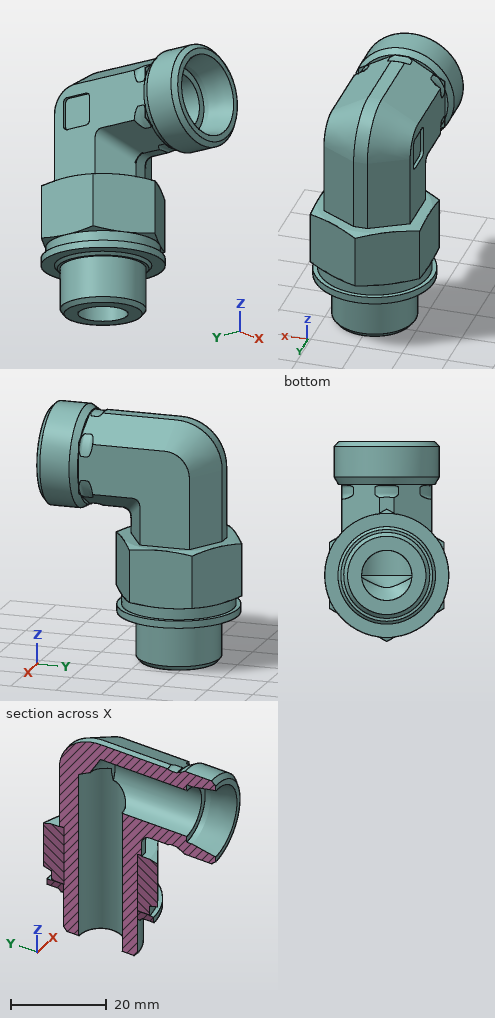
import cadquery as cq
import math


ARM_FLATS = 18.9
ARM_TRUNCATED = 20.1
INNER_CORNER_FILLET = 2.0
SELECTION_MARGIN = 0.1
HALF_SECTOR = math.radians(30)

PORT_END = 28.0
HEAD_BACK = 19.0
HEAD_DIAMETER = 22.0
HEAD_BACK_DIAMETER = 20.2
HEAD_BACK_CONE_LENGTH = 1.55
HEAD_CHAMFER = 1.0

GROOVE_DIAMETER = 19.6
GROOVE_FLOOR_BACK = 17.1
GROOVE_FLOOR_FRONT = 18.35
GROOVE_BACK_RADIUS = 1.2
GROOVE_FRONT_RADIUS = 0.5

BORE_DIAMETER = 12.0
SOCKET_DIAMETER = 15.0
SOCKET_DEPTH = 7.0
MOUTH_DIAMETER = 17.4
MOUTH_HALF_ANGLE = 12.0
DRILL_TIP_ANGLE = 120.0

STUD_DIAMETER = 18.0
STUD_BORE_DIAMETER = 10.5
STUD_END = -42.5
STUD_CHAMFER_END_DIAMETER = 16.38
STUD_CHAMFER_LENGTH = 1.0

NUT_FLATS = 24.0
NUT_TOP = -15.5
NUT_HEX_BOTTOM = -28.0
NUT_BOTTOM = -30.4
NUT_CHAMFER_ANGLE = 16.5

WASHER_DIAMETER = 26.0
WASHER_FLANGE_BOTTOM = -31.95
WASHER_BOTTOM = -32.6
WASHER_CONE_TOP_DIAMETER = 20.4
WASHER_CONE_END_DIAMETER = 19.2

PANEL_SIZE = 7.0
PANEL_CENTER_Y = -0.45
PANEL_CENTER_Z = -0.55
PANEL_CORNER_RADIUS = 1.0
PANEL_DEPTH = 0.7

ARM_HALF_WIDTH = ARM_FLATS / 2
ARM_HALF_HEIGHT = ARM_TRUNCATED / 2
ARM_SHOULDER = ARM_HALF_WIDTH * math.tan(HALF_SECTOR)
ARM_CORNER = ARM_HALF_WIDTH / math.cos(HALF_SECTOR)
ARM_HALF_TIP = (ARM_CORNER - ARM_HALF_HEIGHT) / math.tan(HALF_SECTOR)
DRILL_TIP_SLOPE = 1 / math.tan(math.radians(DRILL_TIP_ANGLE / 2))


def revolve_about_z(profile):
    """Revolve (radius, z) points around the Z axis, starting from the YZ plane."""
    return cq.Workplane("YZ").polyline(profile).close().revolve(360, (0, 0, 0), (0, 1, 0))


def lay_on_port_axis(shape):
    """Turn a shape built along +Z so that it points along -Y."""
    return shape.rotate((0, 0, 0), (1, 0, 0), 90)


def arm_bar(length):
    """Truncated hexagonal bar from the origin plane along +Z."""
    outline = [
        (ARM_HALF_WIDTH, ARM_SHOULDER),
        (ARM_HALF_TIP, ARM_HALF_HEIGHT),
        (-ARM_HALF_TIP, ARM_HALF_HEIGHT),
        (-ARM_HALF_WIDTH, ARM_SHOULDER),
        (-ARM_HALF_WIDTH, -ARM_SHOULDER),
        (-ARM_HALF_TIP, -ARM_HALF_HEIGHT),
        (ARM_HALF_TIP, -ARM_HALF_HEIGHT),
        (ARM_HALF_WIDTH, -ARM_SHOULDER),
    ]
    return cq.Workplane("XY").polyline(outline).close().extrude(length)


def outer_bend():
    """Back upper quarter: half the arm section swept 90 degrees about the X axis."""
    half_outline = [
        (ARM_HALF_WIDTH, 0),
        (ARM_HALF_WIDTH, ARM_SHOULDER),
        (ARM_HALF_TIP, ARM_HALF_HEIGHT),
        (-ARM_HALF_TIP, ARM_HALF_HEIGHT),
        (-ARM_HALF_WIDTH, ARM_SHOULDER),
        (-ARM_HALF_WIDTH, 0),
    ]
    return cq.Workplane("XY").polyline(half_outline).close().revolve(90, (0, 0, 0), (1, 0, 0))


def elbow_bar():
    """Both arms and the bend, with the inner corner filleted."""
    port_arm = lay_on_port_axis(arm_bar(HEAD_BACK))
    bar = arm_bar(NUT_TOP).union(port_arm).union(outer_bend())
    inner_corner = cq.selectors.BoxSelector(
        (-ARM_HALF_WIDTH, -ARM_HALF_HEIGHT - SELECTION_MARGIN, -ARM_HALF_HEIGHT - SELECTION_MARGIN),
        (ARM_HALF_WIDTH, -ARM_SHOULDER - SELECTION_MARGIN, -ARM_SHOULDER - SELECTION_MARGIN),
    )
    return bar.edges(inner_corner).fillet(INNER_CORNER_FILLET)


def port_head():
    radius = HEAD_DIAMETER / 2
    return lay_on_port_axis(revolve_about_z([
        (0, HEAD_BACK),
        (HEAD_BACK_DIAMETER / 2, HEAD_BACK),
        (radius, HEAD_BACK + HEAD_BACK_CONE_LENGTH),
        (radius, PORT_END - HEAD_CHAMFER),
        (radius - HEAD_CHAMFER, PORT_END),
        (0, PORT_END),
    ]))


def relief_groove():
    """Ring that notches the arm corners, with a wide round at the back and a tight one at the front."""
    floor = GROOVE_DIAMETER / 2
    front = GROOVE_FLOOR_FRONT + GROOVE_FRONT_RADIUS
    outside = floor + GROOVE_BACK_RADIUS
    ring = (
        cq.Workplane("XZ")
        .moveTo(floor, GROOVE_FLOOR_BACK)
        .lineTo(floor, GROOVE_FLOOR_FRONT)
        .radiusArc((floor + GROOVE_FRONT_RADIUS, front), GROOVE_FRONT_RADIUS)
        .lineTo(outside, front)
        .lineTo(outside, GROOVE_FLOOR_BACK - GROOVE_BACK_RADIUS)
        .radiusArc((floor, GROOVE_FLOOR_BACK), GROOVE_BACK_RADIUS)
        .close()
        .revolve(360, (0, 0, 0), (0, 1, 0))
    )
    return lay_on_port_axis(ring)


def stud():
    radius = STUD_DIAMETER / 2
    return revolve_about_z([
        (0, NUT_TOP),
        (radius, NUT_TOP),
        (radius, STUD_END + STUD_CHAMFER_LENGTH),
        (STUD_CHAMFER_END_DIAMETER / 2, STUD_END),
        (0, STUD_END),
    ])


def port_bore():
    """Tapered mouth, tube socket and drilled bore ending in a conical tip past the origin."""
    bore = BORE_DIAMETER / 2
    socket = SOCKET_DIAMETER / 2
    mouth = MOUTH_DIAMETER / 2
    mouth_length = (mouth - socket) / math.tan(math.radians(MOUTH_HALF_ANGLE))
    return lay_on_port_axis(revolve_about_z([
        (0, -bore * DRILL_TIP_SLOPE),
        (bore, 0),
        (bore, PORT_END - SOCKET_DEPTH),
        (socket, PORT_END - SOCKET_DEPTH),
        (socket, PORT_END - mouth_length),
        (mouth, PORT_END),
        (0, PORT_END),
    ]))


def stud_bore():
    """Bore through the stud, ending in a conical tip above the origin."""
    bore = STUD_BORE_DIAMETER / 2
    return revolve_about_z([(0, bore * DRILL_TIP_SLOPE), (bore, 0), (bore, STUD_END), (0, STUD_END)])


def label_panel():
    """Rounded square pocket in the -X side."""
    return (
        cq.Workplane("XY")
        .box(PANEL_DEPTH, PANEL_SIZE, PANEL_SIZE)
        .edges("|X")
        .fillet(PANEL_CORNER_RADIUS)
        .translate((-ARM_HALF_WIDTH + PANEL_DEPTH / 2, PANEL_CENTER_Y, PANEL_CENTER_Z))
    )


def build_elbow():
    body = elbow_bar().cut(relief_groove()).union(port_head()).union(stud())
    return body.cut(port_bore()).cut(stud_bore()).cut(label_panel())


def build_nut():
    """Hexagon chamfered at both ends with a round collar below, bored for the stud."""
    corner_radius = NUT_FLATS / 2 / math.cos(HALF_SECTOR)
    flat_radius = NUT_FLATS / 2
    chamfer_height = (corner_radius - flat_radius) * math.tan(math.radians(NUT_CHAMFER_ANGLE))
    hexagon = (
        cq.Workplane("XY")
        .workplane(offset=NUT_HEX_BOTTOM)
        .polygon(6, 2 * corner_radius)
        .extrude(NUT_TOP - NUT_HEX_BOTTOM)
        .rotate((0, 0, 0), (0, 0, 1), math.degrees(HALF_SECTOR))
    )
    chamfer_envelope = revolve_about_z([
        (0, NUT_TOP),
        (flat_radius, NUT_TOP),
        (corner_radius, NUT_TOP - chamfer_height),
        (corner_radius, NUT_HEX_BOTTOM + chamfer_height),
        (flat_radius, NUT_HEX_BOTTOM),
        (0, NUT_HEX_BOTTOM),
    ])
    collar = (
        cq.Workplane("XY")
        .workplane(offset=NUT_BOTTOM)
        .circle(flat_radius)
        .extrude(NUT_HEX_BOTTOM - NUT_BOTTOM)
    )
    bore = (
        cq.Workplane("XY")
        .workplane(offset=NUT_BOTTOM)
        .circle(STUD_DIAMETER / 2)
        .extrude(NUT_TOP - NUT_BOTTOM)
    )
    return hexagon.intersect(chamfer_envelope).union(collar).cut(bore)


def build_washer():
    """Flat flange with a short cone below, fitting around the stud."""
    return revolve_about_z([
        (STUD_DIAMETER / 2, NUT_BOTTOM),
        (WASHER_DIAMETER / 2, NUT_BOTTOM),
        (WASHER_DIAMETER / 2, WASHER_FLANGE_BOTTOM),
        (WASHER_CONE_TOP_DIAMETER / 2, WASHER_FLANGE_BOTTOM),
        (WASHER_CONE_END_DIAMETER / 2, WASHER_BOTTOM),
        (STUD_DIAMETER / 2, WASHER_BOTTOM),
    ])


elbow = build_elbow()
nut = build_nut()
washer = build_washer()

result = cq.Compound.makeCompound([elbow.solids().val(), nut.solids().val(), washer.solids().val()])